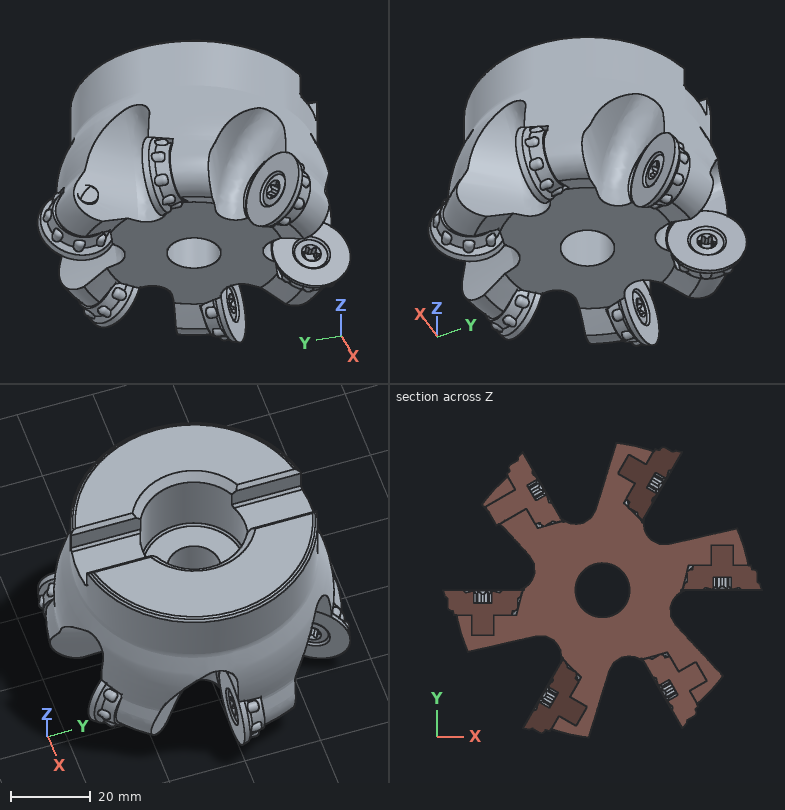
import cadquery as cq
import math

STATIONS = 6
STATION_ANGLE = 360 / STATIONS
INSERT_RADIUS = 10.0
TIP_RADIUS = 40.0
SEAT_RADIUS = TIP_RADIUS - INSERT_RADIUS
SEAT_HEIGHT = INSERT_RADIUS

TOTAL_HEIGHT = 50.0
HUB_RADIUS = 62.0 / 2
RIM_WIDTH_OUTER = 0.6
RIM_WIDTH_INNER = 0.6
RIM_DROP_OUTER = 0.6
RIM_DROP_INNER = 0.2
DOME_RADIUS = 35.1
DOME_ARC_RADIUS = 30.9
DOME_ARC_HEIGHT = 19.7
DOME_BLEND_RADIUS = 2.4
NECK_TOP_HEIGHT = 17.9
NECK_BLEND_RADIUS = 1.9
LOBE_CIRCLE_RADIUS = 30.2
LOBE_RADIUS = 7.0
LOBE_SHOULDER_RISE = 2.8
BOTTOM_RECESS_HEIGHT = 6.0
BOTTOM_CONE_INNER_RADIUS = 22.8
BOTTOM_CONE_OUTER_RADIUS = 29.5

BORE_RADIUS = 27.0 / 2
BORE_DEPTH = 20.0
BORE_CHAMFER = 2.1
BORE_FLOOR_CHAMFER = 0.6
BOLT_HOLE_RADIUS = 13.5 / 2
SLOT_WIDTH = 12.3
SLOT_DEPTH = 7.0
SLOT_TOP_CHAMFER = 1.0
SLOT_FLOOR_CHAMFER = 0.7

FLUTE_RADIUS = 29.9
FLUTE_HEIGHT = 6.5
FLUTE_FILLET = 5.1
FLUTE_TURN = 47.0
FLUTE_OFFSET = 37.3
FLUTE_LENGTH = 128.0

POCKET_BACK_RADIUS = 8.4
POCKET_RUN_IN = 6.4
POCKET_RUN_IN_RADIUS = 10.3

INSERT_THICKNESS = 6.2
LAND_DEPTH = 1.6
LAND_RADIUS = 9.5
STEP_DEPTH = 2.7
STEP_RADIUS = 8.1
BACK_RADIUS = 7.3
STUD_COUNT = 8
STUD_RADIUS = 1.4
STUD_CIRCLE_RADIUS = 7.4
STUD_END_DEPTH = 5.2
STUD_END_FILLET = 1.0
COUNTERSINK_RADIUS = 4.8
HEAD_RADIUS = 8.5 / 2
HEAD_EDGE_DEPTH = 0.6
HEAD_TOP_RADIUS = 2.6
HEAD_TOP_DEPTH = 0.2
SCREW_RADIUS = 5.4 / 2
SCREW_END_DEPTH = 11.2
LONG_SCREW_END_DEPTH = 15.0
LONG_SCREW_STATION = 2
DRIVE_MOUTH_RADIUS = 2.5
DRIVE_MOUTH_DEPTH = 1.0
DRIVE_CORE_RADIUS = 1.7
DRIVE_LOBE_RADIUS = 0.5
DRIVE_LOBE_COUNT = 6
DRIVE_DEPTH = 3.2


def at_station(shape, index):
    return shape.rotate((0, 0, 0), (0, 0, 1), index * STATION_ANGLE)


def lobe_point(angle):
    return (LOBE_CIRCLE_RADIUS + LOBE_RADIUS * math.cos(angle), SEAT_HEIGHT + LOBE_RADIUS * math.sin(angle))


def make_turned_blank():
    """Hub, dome, neck and rounded lower ring, with the dished underside."""
    dome_centre_r = DOME_RADIUS - DOME_ARC_RADIUS

    def dome_point(height):
        rise = height - DOME_ARC_HEIGHT
        return (dome_centre_r + math.sqrt(DOME_ARC_RADIUS**2 - rise**2), height)

    dome_rise = math.sqrt(DOME_ARC_RADIUS**2 - (HUB_RADIUS - dome_centre_r) ** 2)
    dome_top_height = DOME_ARC_HEIGHT + dome_rise
    dome_bottom = dome_point(NECK_TOP_HEIGHT)
    neck_r = dome_bottom[0]

    shoulder_angle = math.asin(LOBE_SHOULDER_RISE / LOBE_RADIUS)
    shoulder = lobe_point(shoulder_angle)
    neck_bottom_height = shoulder[1] + (shoulder[0] - neck_r) / math.tan(shoulder_angle)
    lobe_bottom_height = SEAT_HEIGHT - LOBE_RADIUS

    rim_mid_r = HUB_RADIUS - RIM_WIDTH_OUTER
    rim_mid_height = TOTAL_HEIGHT - RIM_DROP_INNER
    blank = (
        cq.Workplane("XZ")
        .moveTo(0, TOTAL_HEIGHT)
        .lineTo(rim_mid_r - RIM_WIDTH_INNER, TOTAL_HEIGHT)
        .lineTo(rim_mid_r, rim_mid_height)
        .lineTo(HUB_RADIUS, rim_mid_height - RIM_DROP_OUTER)
        .lineTo(HUB_RADIUS, dome_top_height)
        .threePointArc(dome_point((dome_top_height + NECK_TOP_HEIGHT) / 2), dome_bottom)
        .lineTo(neck_r, neck_bottom_height)
        .lineTo(*shoulder)
        .threePointArc(lobe_point(0), (LOBE_CIRCLE_RADIUS, lobe_bottom_height))
        .lineTo(BOTTOM_CONE_OUTER_RADIUS, lobe_bottom_height)
        .lineTo(BOTTOM_CONE_INNER_RADIUS, BOTTOM_RECESS_HEIGHT)
        .lineTo(0, BOTTOM_RECESS_HEIGHT)
        .close()
        .revolve(360, (0, 0, 0), (0, 1, 0))
    )
    dome_top_edge = cq.NearestToPointSelector((0, 0, dome_top_height))
    neck_edge = cq.NearestToPointSelector((0, 0, neck_bottom_height))
    return blank.edges(dome_top_edge).fillet(DOME_BLEND_RADIUS).edges(neck_edge).fillet(NECK_BLEND_RADIUS)


def make_bore():
    floor_height = TOTAL_HEIGHT - BORE_DEPTH
    return (
        cq.Workplane("XZ")
        .polyline(
            [
                (0, TOTAL_HEIGHT),
                (BORE_RADIUS + BORE_CHAMFER, TOTAL_HEIGHT),
                (BORE_RADIUS, TOTAL_HEIGHT - BORE_CHAMFER),
                (BORE_RADIUS, floor_height + BORE_FLOOR_CHAMFER),
                (BORE_RADIUS - BORE_FLOOR_CHAMFER, floor_height),
                (BOLT_HOLE_RADIUS, floor_height),
                (BOLT_HOLE_RADIUS, BOTTOM_RECESS_HEIGHT),
                (0, BOTTOM_RECESS_HEIGHT),
            ]
        )
        .close()
        .revolve(360, (0, 0, 0), (0, 1, 0))
    )


def make_drive_slot():
    half = SLOT_WIDTH / 2
    floor_height = TOTAL_HEIGHT - SLOT_DEPTH
    right_side = [
        (half - SLOT_FLOOR_CHAMFER, floor_height),
        (half, floor_height + SLOT_FLOOR_CHAMFER),
        (half, TOTAL_HEIGHT - SLOT_TOP_CHAMFER),
        (half + SLOT_TOP_CHAMFER, TOTAL_HEIGHT),
    ]
    left_side = [(-x, z) for x, z in reversed(right_side)]
    return cq.Workplane("XZ").polyline(right_side + left_side).close().extrude(HUB_RADIUS, both=True)


def make_flute():
    """Horizontal cylinder ending at the insert face plane (Y = 0), with that edge rounded."""
    turn = math.radians(FLUTE_TURN)
    axis = cq.Vector(math.cos(turn), -math.sin(turn), 0)
    nearest = cq.Vector(FLUTE_OFFSET * math.sin(turn), FLUTE_OFFSET * math.cos(turn), FLUTE_HEIGHT)
    start = nearest - axis * (FLUTE_LENGTH / 2)
    section = cq.Workplane(cq.Plane(start, xDir=(0, 0, 1), normal=axis))
    cylinder = section.circle(FLUTE_RADIUS).extrude(FLUTE_LENGTH)
    side = 2 * FLUTE_LENGTH
    beyond_face = cq.Workplane("XY").box(side, side, side, centered=(True, False, True))
    return cylinder.cut(beyond_face).faces(">Y").edges().fillet(FLUTE_FILLET)


def make_screw_drive():
    """Six-lobe socket."""
    core = cq.Workplane("XY").circle(DRIVE_CORE_RADIUS).extrude(DRIVE_DEPTH)
    lobes = (
        cq.Workplane("XY")
        .workplane(offset=HEAD_TOP_DEPTH)
        .polarArray(DRIVE_CORE_RADIUS, 0, 360, DRIVE_LOBE_COUNT)
        .circle(DRIVE_LOBE_RADIUS)
        .extrude(DRIVE_DEPTH - HEAD_TOP_DEPTH)
    )
    return core.union(lobes)


def make_face_recess():
    """Space above the raised screw head: countersink ring, head slope and socket."""
    above_head = (
        cq.Workplane("XZ")
        .polyline(
            [
                (0, 0),
                (COUNTERSINK_RADIUS, 0),
                (HEAD_RADIUS, HEAD_EDGE_DEPTH),
                (HEAD_TOP_RADIUS, HEAD_TOP_DEPTH),
                (DRIVE_MOUTH_RADIUS, HEAD_TOP_DEPTH),
                (DRIVE_CORE_RADIUS, DRIVE_MOUTH_DEPTH),
                (0, DRIVE_MOUTH_DEPTH),
            ]
        )
        .close()
        .revolve(360, (0, 0, 0), (0, 1, 0))
    )
    return above_head.union(make_screw_drive())


def make_insert(screw_end_depth):
    """Round insert with its clamping screw, axis along +Z and the cutting face at Z = 0."""
    disc = (
        cq.Workplane("XZ")
        .polyline(
            [
                (0, 0),
                (INSERT_RADIUS, 0),
                (LAND_RADIUS, LAND_DEPTH),
                (STEP_RADIUS, STEP_DEPTH),
                (BACK_RADIUS, INSERT_THICKNESS),
                (SCREW_RADIUS, INSERT_THICKNESS),
                (SCREW_RADIUS, screw_end_depth),
                (0, screw_end_depth),
            ]
        )
        .close()
        .revolve(360, (0, 0, 0), (0, 1, 0))
    )
    studs = (
        cq.Workplane("XY")
        .workplane(offset=LAND_DEPTH)
        .polarArray(STUD_CIRCLE_RADIUS, 0, 360, STUD_COUNT)
        .circle(STUD_RADIUS)
        .extrude(STUD_END_DEPTH - LAND_DEPTH)
        .faces(">Z")
        .edges()
        .fillet(STUD_END_FILLET)
    )
    return disc.union(studs).cut(make_face_recess())


def make_pocket(screw_end_depth):
    """Tapered seat and screw hole, on the same axis as the upright insert."""
    return (
        cq.Workplane("XZ")
        .polyline(
            [
                (0, -POCKET_RUN_IN),
                (POCKET_RUN_IN_RADIUS, -POCKET_RUN_IN),
                (POCKET_RUN_IN_RADIUS, 0),
                (INSERT_RADIUS, 0),
                (POCKET_BACK_RADIUS, INSERT_THICKNESS),
                (SCREW_RADIUS, INSERT_THICKNESS),
                (SCREW_RADIUS, screw_end_depth),
                (0, screw_end_depth),
            ]
        )
        .close()
        .revolve(360, (0, 0, 0), (0, 1, 0))
    )


def place(upright, index):
    """Lay an upright insert shape on its side and move it to its station."""
    at_first = upright.rotate((0, 0, 0), (1, 0, 0), -90).translate((SEAT_RADIUS, 0, SEAT_HEIGHT))
    return at_station(at_first, index)


def screw_end_depth_at(index):
    return LONG_SCREW_END_DEPTH if index == LONG_SCREW_STATION else SCREW_END_DEPTH


def make_housing():
    housing = make_turned_blank().cut(make_bore()).cut(make_drive_slot())
    flute = make_flute()
    for index in range(STATIONS):
        pocket = place(make_pocket(screw_end_depth_at(index)), index)
        housing = housing.cut(at_station(flute, index)).cut(pocket)
    return housing


housing = make_housing()
inserts = [place(make_insert(screw_end_depth_at(index)), index) for index in range(STATIONS)]
result = cq.Compound.makeCompound([housing.val(), *[insert.val() for insert in inserts]])